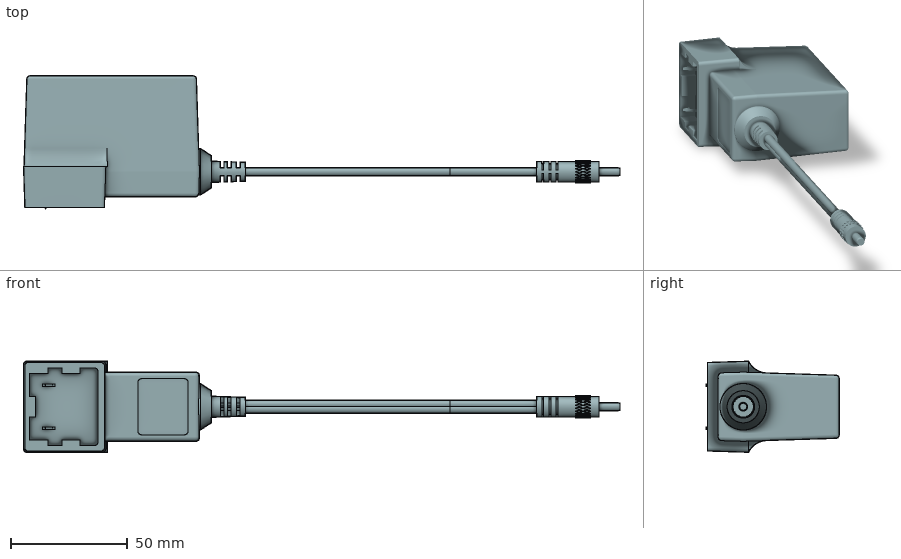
import cadquery as cq
import math


total_length = 255.7
cord_joint_x = 182.8

case_left = 0.13
case_right = 75.5
case_half_height = 14.8
case_rear_y = 41.2
case_front_y = -10.7
draft_angle = 1.8
edge_radius = 1.5

socket_right = 35.3
socket_height = 39.0
socket_half_height = socket_height / 2
socket_rear_y = 2.3
socket_front_y = -15.3
blend_start_y = 10.0
flare_right = 36.0

recess_left = 2.5
recess_right = 32.0
recess_depth = 6.5
recess_floor_y = socket_front_y + recess_depth
recess_half_height = 14.3
wide_half_height = 16.5
wide_bay_left = 24.3
bay_corner_radius = 1.5
notch_left = 10.5
notch_right = 16.5
key_width = 2.5
key_half_height = 4.3

contact_left = 8.2
contact_right = 13.5
contact_thickness = 1.0
contact_spacing = 18.5
contact_tip_x = 9.5
contact_tip_y = -15.9
contact_free_end_y = -12.8

label_left = 49.0
label_right = 70.5
label_half_height = 12.0
label_corner_radius = 1.5
label_depth = 0.3

wire_diameter = 3.5
wire_spacing = 2.0

boot_start_x = 74.2
flange_end_x = 76.0
flange_radius = 10.0
cone_end_x = 80.5
cone_end_radius = 7.0
boot_end_x = 95.0
boot_start_radius = 4.5
boot_end_radius = 4.0
boot_gap = 1.5
boot_gap_starts = (84.5, 87.5, 91.3)
boot_rib_width = 3.3

plug_start_x = 220.0
plug_end_x = 246.7
plug_diameter = 9.0
plug_groove = 0.8
plug_groove_depth = 1.0
plug_groove_count = 3
plug_first_groove_x = 222.2
plug_groove_pitch = 3.0
plug_rib_width = 1.5
barrel_diameter = 3.5
barrel_rim_length = 1.0
barrel_rim_drop = 0.3

grip_start_x = 236.5
grip_row_pitch = 3.3
diamond_length = 3.0
diamond_width = 1.0
diamond_height = 0.38
diamonds_per_row = 22
grip_rows = 2


def box(x_range, y_range, z_range):
    """Box between two limits on each axis."""
    size = [high - low for low, high in (x_range, y_range, z_range)]
    return cq.Workplane("XY").box(*size, centered=False).translate((x_range[0], y_range[0], z_range[0]))


def cylinder_x(radius, start, end):
    """Cylinder on the cord axis between two places along X."""
    return cq.Workplane("YZ", origin=(start, 0, 0)).circle(radius).extrude(end - start)


def drafted_block(left, right, half_height, start_y, end_y):
    """Block narrowing by the draft angle from start_y to end_y."""
    toward_rear = end_y > start_y
    plane = "ZX" if toward_rear else "XZ"
    size = (2 * half_height, right - left) if toward_rear else (right - left, 2 * half_height)
    return (
        cq.Workplane(plane, origin=((left + right) / 2, start_y, 0))
        .rect(*size)
        .extrude(abs(end_y - start_y), taper=draft_angle)
    )


def make_flare():
    """Slab whose top and bottom follow the case, then curve out to the socket block along arcs."""
    slope = math.tan(math.radians(draft_angle))
    rear_half_height = case_half_height - case_rear_y * slope
    blend_half_height = case_half_height - blend_start_y * slope
    upper_half = (
        cq.Workplane("YZ")
        .moveTo(case_rear_y, 0)
        .lineTo(case_rear_y, rear_half_height)
        .lineTo(blend_start_y, blend_half_height)
        .tangentArcPoint((socket_rear_y, socket_half_height), relative=False)
        .lineTo(socket_rear_y, 0)
        .close()
        .extrude(flare_right)
    )
    slab = upper_half.union(upper_half.mirror("XY"))
    return slab.intersect(drafted_block(case_left, flare_right, 2 * socket_half_height, 0, case_rear_y))


def is_outer_edge(edge):
    """True on the rear rim and on the lengthwise corners behind the socket block."""
    center = edge.Center()
    on_side = center.x < edge_radius or center.x > case_right - edge_radius
    on_rear = center.y > case_rear_y - edge_radius
    return on_rear or (on_side and center.y > socket_rear_y)


def make_case():
    """Two drafted halves meeting at the parting plane, with rounded edges."""
    rear = drafted_block(case_left, case_right, case_half_height, 0, case_rear_y).union(make_flare())
    front = drafted_block(case_left, case_right, case_half_height, 0, case_front_y)
    rear = rear.edges().filter(is_outer_edge).fillet(edge_radius)
    return rear.union(front.edges("not >Y").fillet(edge_radius))


def make_socket_block():
    """Drafted block with rounded corners that carries the socket recess."""
    block = drafted_block(0, socket_right, socket_half_height, socket_rear_y, socket_front_y)
    return block.edges("not (<Y or >Y)").fillet(edge_radius)


def make_recess():
    """Keyed pocket: narrow bay, taller right-hand bay, two notches and a key on the left wall."""
    depth_range = (socket_front_y, recess_floor_y)
    recess = box((recess_left, recess_right), depth_range, (-recess_half_height, recess_half_height))
    bay = box((wide_bay_left, recess_right), depth_range, (-wide_half_height, wide_half_height))
    bay = bay.edges("|Y and >X").fillet(bay_corner_radius)
    notches = box((notch_left, notch_right), depth_range, (-wide_half_height, wide_half_height))
    key = box((recess_left, recess_left + key_width), depth_range, (-key_half_height, key_half_height))
    return recess.union(bay).union(notches).cut(key)


def make_contact(z):
    """Bent leaf that leans from the recess floor to a tip and turns back down at its free end."""
    bend_y = contact_tip_y + contact_thickness
    return (
        cq.Workplane("XY", origin=(0, 0, z - contact_thickness / 2))
        .moveTo(contact_right - contact_thickness, recess_floor_y)
        .lineTo(contact_tip_x, bend_y)
        .lineTo(contact_left + contact_thickness, contact_free_end_y)
        .lineTo(contact_left, contact_free_end_y)
        .lineTo(contact_tip_x, contact_tip_y)
        .lineTo(contact_right, recess_floor_y)
        .close()
        .extrude(contact_thickness)
    )


def make_label_pocket():
    """Shallow rounded pocket for a label on the front of the case."""
    pocket = box(
        (label_left, label_right),
        (case_front_y, case_front_y + label_depth),
        (-label_half_height, label_half_height),
    )
    return pocket.edges("|Y").fillet(label_corner_radius)


def make_housing(flange_seat):
    """Case and socket block with the recess, label pocket, boot seat and two contacts."""
    body = make_case().union(make_socket_block())
    body = body.cut(make_recess()).cut(make_label_pocket()).cut(flange_seat)
    for side in (-1, 1):
        body = body.union(make_contact(side * contact_spacing / 2))
    return body


def make_cord(start, end):
    """Twin-wire cord with a groove along its middle."""
    wires = [
        cylinder_x(wire_diameter / 2, start, end).translate((0, 0, side * wire_spacing / 2))
        for side in (-1, 1)
    ]
    return wires[0].union(wires[1])


def gaps_between_ribs(radius, rib_width, start, width):
    """Two cutters that open a sleeve all round except for ribs at the top and bottom."""
    ring = cylinder_x(radius, start, start + width)
    rib_range = (-rib_width / 2, rib_width / 2)
    return ring.cut(box((start, start + width), rib_range, (-radius, radius)))


def make_flange():
    """Disc that seats the boot in the case wall."""
    return cylinder_x(flange_radius, boot_start_x, flange_end_x)


def make_boot_cord():
    """Flange, cone and slotted sleeve moulded round the first length of cord."""
    cone_and_sleeve = (
        cq.Workplane("XY")
        .moveTo(flange_end_x, 0)
        .lineTo(flange_end_x, flange_radius)
        .lineTo(cone_end_x, cone_end_radius)
        .lineTo(cone_end_x, boot_start_radius)
        .lineTo(boot_end_x, boot_end_radius)
        .lineTo(boot_end_x, 0)
        .close()
        .revolve(360, (0, 0, 0), (1, 0, 0))
    )
    boot = make_flange().union(cone_and_sleeve)
    for gap_start in boot_gap_starts:
        boot = boot.cut(gaps_between_ribs(boot_start_radius, boot_rib_width, gap_start, boot_gap))
    return boot.union(make_cord(cone_end_x, cord_joint_x))


def make_diamond(x, angle):
    """Raised diamond on the plug surface, at the given angle round the X axis."""
    root_radius = plug_diameter / 4
    return (
        cq.Workplane("XY", origin=(x, 0, root_radius))
        .polyline([
            (-diamond_length / 2, 0),
            (0, -diamond_width / 2),
            (diamond_length / 2, 0),
            (0, diamond_width / 2),
        ])
        .close()
        .extrude(plug_diameter / 2 + diamond_height - root_radius)
        .rotate((0, 0, 0), (1, 0, 0), angle)
    )


def make_plug():
    """Grooved barrel plug with its grip, moulded round the last length of cord."""
    radius = plug_diameter / 2
    plug = cylinder_x(radius, plug_start_x, plug_end_x)
    core_radius = radius - plug_groove_depth
    for index in range(plug_groove_count):
        start = plug_first_groove_x + index * plug_groove_pitch
        gap = gaps_between_ribs(radius, plug_rib_width, start, plug_groove)
        plug = plug.cut(gap.cut(cylinder_x(core_radius, start, start + plug_groove)))
    for row in range(grip_rows):
        x = grip_start_x + (row + 0.5) * grip_row_pitch
        for index in range(diamonds_per_row):
            plug = plug.union(make_diamond(x, index * 360 / diamonds_per_row))
    barrel = cylinder_x(barrel_diameter / 2, plug_end_x, total_length)
    barrel = barrel.faces(">X").chamfer(barrel_rim_length, barrel_rim_drop)
    return plug.union(barrel).union(make_cord(cord_joint_x, plug_start_x))


housing = make_housing(make_flange())
boot_cord = make_boot_cord()
plug = make_plug()

result = cq.Compound.makeCompound([housing.val(), boot_cord.val(), plug.val()])